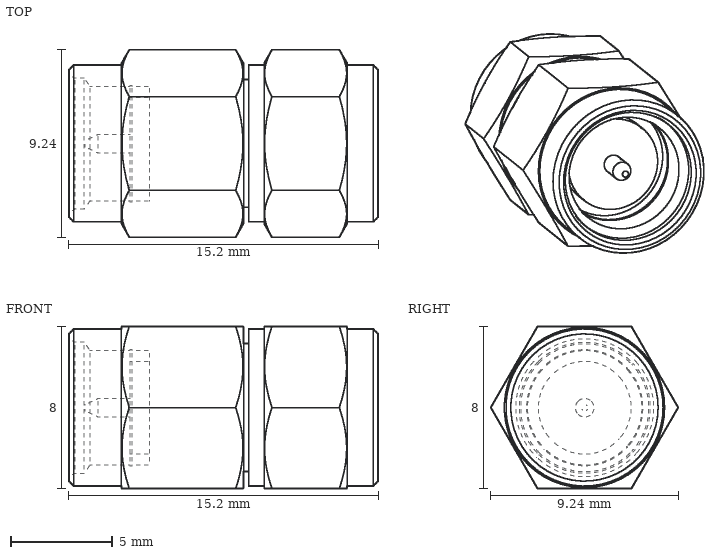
import cadquery as cq
import math

total_length = 15.25
long_hex_start = 2.6
long_hex_end = 8.62
neck_end = 8.86
short_hex_start = 9.62
short_hex_end = 13.72

hex_across_flats = 8.0
hex_corner_radius = hex_across_flats / math.sqrt(3)
hex_chamfer_radius = 3.95
hex_chamfer_angle = 30
body_radius = 3.87
neck_radius = 3.15
end_chamfer = 0.25

mouth_radius = 3.4
counterbore_radius = 3.23
bore_radius = 2.82
counterbore_start = 0.29
counterbore_end = 0.75
bore_start = 1.04
groove_radius = 2.87
groove_start = 3.0
groove_end = 3.1
socket_depth = 3.96

insulator_radius = 2.29
insulator_face = 3.0
pin_radius = 0.45
pin_tip_radius = 0.15
pin_tip = 0.8
pin_shoulder = 1.43


def revolve_profile(points):
    """Revolve a closed (x, radius) outline about the X axis."""
    return cq.Workplane("XY").polyline(points).close().revolve(360, (0, 0, 0), (1, 0, 0))


def rod(radius, start, end):
    """Solid cylinder along X."""
    return cq.Workplane("YZ", origin=(start, 0, 0)).circle(radius).extrude(end - start)


def hex_nut(start, end):
    """Hexagon with corners on the Y axis and both ends turned to a cone."""
    prism = (
        cq.Workplane("YZ", origin=(start, 0, 0))
        .polygon(6, 2 * hex_corner_radius)
        .extrude(end - start)
    )
    chamfer = (hex_corner_radius - hex_chamfer_radius) * math.tan(math.radians(hex_chamfer_angle))
    envelope = revolve_profile([
        (start, 0),
        (start, hex_chamfer_radius),
        (start + chamfer, hex_corner_radius),
        (end - chamfer, hex_corner_radius),
        (end, hex_chamfer_radius),
        (end, 0),
    ])
    return prism.intersect(envelope)


def outer_body():
    """Two round sleeves joined by the narrow neck, with both hexagons."""
    front_sleeve = rod(body_radius, 0, long_hex_end).faces("<X").chamfer(end_chamfer)
    rear_sleeve = rod(body_radius, neck_end, total_length).faces(">X").chamfer(end_chamfer)
    neck = rod(neck_radius, long_hex_end, neck_end)
    return (
        front_sleeve.union(neck)
        .union(rear_sleeve)
        .union(hex_nut(long_hex_start, long_hex_end))
        .union(hex_nut(short_hex_start, short_hex_end))
    )


def socket():
    """Stepped bore tapered at its mouth and below the counterbore, with a thin groove."""
    return revolve_profile([
        (0, 0),
        (0, mouth_radius),
        (counterbore_start, counterbore_radius),
        (counterbore_end, counterbore_radius),
        (bore_start, bore_radius),
        (groove_start, bore_radius),
        (groove_start, groove_radius),
        (groove_end, groove_radius),
        (groove_end, bore_radius),
        (socket_depth, bore_radius),
        (socket_depth, 0),
    ])


def contact_pin():
    """Pin with a blunt conical tip, standing on the socket floor."""
    return revolve_profile([
        (pin_tip, 0),
        (pin_tip, pin_tip_radius),
        (pin_shoulder, pin_radius),
        (socket_depth, pin_radius),
        (socket_depth, 0),
    ])


insulator = rod(insulator_radius, insulator_face, socket_depth)
result = outer_body().cut(socket()).union(insulator).union(contact_pin())